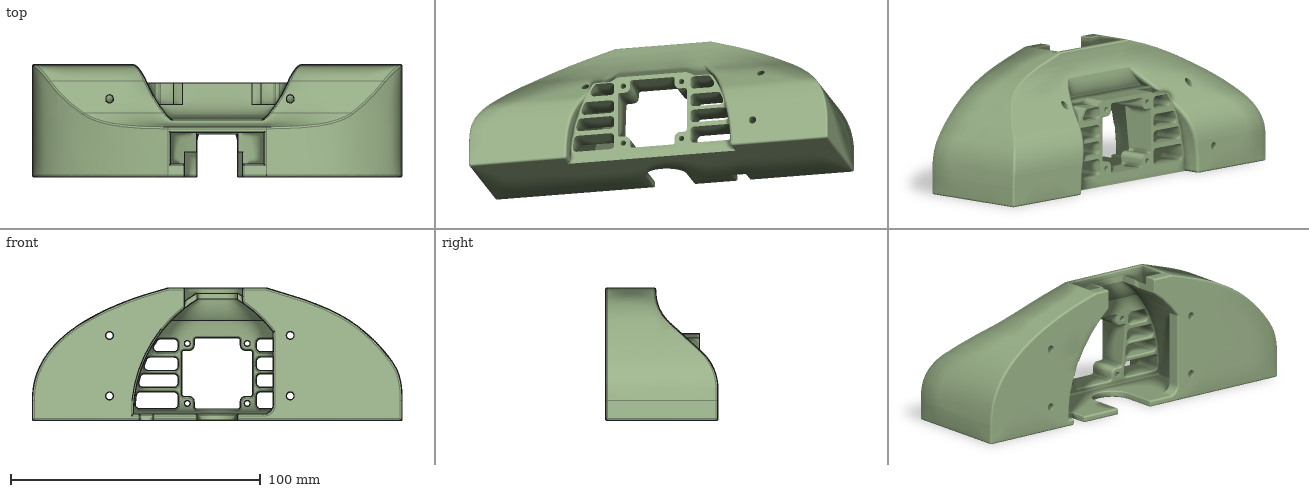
import cadquery as cq
import math

LENGTH = 148.0
DEPTH = 45.0
HEIGHT = 53.1
HALF_LENGTH = LENGTH / 2
FRONT_Y = -DEPTH / 2
BACK_Y = DEPTH / 2
EDGE_ROUND = 0.8
FINE_EDGE_ROUND = 0.5

DOME_FOOT_HEIGHT = 8.0
DOME_TOP_HALF = 19.7
DOME_MID_POINTS = [(34.0, 48.7), (55.9, 38.0), (70.0, 23.6)]
DOME_TOP_TANGENT = (-1.0, 0.29)

UPPER_BACK_Y = -2.4
SLOPE_ANGLE = math.radians(42.3)
SLOPE_HEIGHT = 42.1
UPPER_BACK_ROUND = 17.0
LOWER_BACK_ROUND = 20.0

FLOOR_THICKNESS = 2.6
ARCH_HALF_WIDTH = 33.6
ARCH_RADIUS = 54.0
ARCH_TOP = 48.7
LINER_THICKNESS = 2.2

FRONT_WALL_THICKNESS = 5.2
FRONT_WALL_INNER_Y = FRONT_Y + FRONT_WALL_THICKNESS
WINDOW_RIGHT = 22.4
WINDOW_CORNER_RADIUS = 4.0

PARTITION_TILT = math.radians(7.1)
PARTITION_FOOT_Y = 4.0
PARTITION_THICKNESS = 1.6
SHELL_THICKNESS = 2.5
SHELF_BACK_Y = 6.6
SEAT_BACK_Y = 15.2
SHELF_TOP = 34.8
LEDGE_TOP = 33.1
SHELF_FLANK_INNER = 14.0
SHELF_FLANK_OUTER = 17.6
RECESS_MARGIN = 0.1
LEDGE_ROUND = 2.0
JOINT_ROUND = 0.8
LIP_ROUND = 1.2

FAN_Z = 18.9
FAN_HALF = 14.2
SCREW_OFFSET = 12.0
SCREW_DIAMETER = 2.2
SCREW_BOSS_HALF = 5.0
SCREW_BOSS_ROUND = 2.2
FAN_INNER_ROUND = 0.9

GRILLE_ROWS = [(4.8, 11.5), (13.4, 18.7), (20.1, 25.4), (27.6, 32.7)]
GRILLE_INNER_X = 15.7
GRILLE_CORNER_RADIUS = 1.6
GRILLE_SIDE_MARGIN = 0.7
OPENING_EDGE_ROUND = 0.6

MOUNT_X = (-43.1, 29.2)
MOUNT_HEIGHTS = (9.9, 34.1)
MOUNT_DIAMETER = 3.0

CABLE_SLOT_HALF = 8.1
CABLE_SLOT_CENTRE_Y = -8.5
SLIT_X = (-31.0, -25.8)
SLIT_DEPTH = 8.0

ROOF_POCKET_HALF = 18.7
ROOF_POCKET_Y = (FRONT_WALL_INNER_Y, -4.7)
ROOF_GAP_X = (-13.1, 10.2)
ROOF_GAP_BACK_Y = -12.5
LINER_GAP_HALF = 8.1
LINER_GAP_BACK_Y = -5.3
ROOF_CUT_FLOOR = 40.0


def box(x_range, y_range, z_range):
    size = [high - low for low, high in (x_range, y_range, z_range)]
    return cq.Workplane("XY").box(*size, centered=False).translate((x_range[0], y_range[0], z_range[0]))


def along_y(outline, y_range):
    """Extrude an outline drawn on XZ between two Y positions."""
    solid = outline.extrude(-(y_range[1] - y_range[0]))
    return solid.translate((0, y_range[0], 0))


def mirrored(points):
    return [(-x, z) for x, z in reversed(points)]


def around(value, pad=0.1):
    return value - pad, value + pad


def edges_within(x_range, y_range, z_range):
    """Selector for the edges whose centres lie inside a box."""
    low, high = zip(x_range, y_range, z_range)
    return cq.selectors.BoxSelector(low, high)


def dome_outline():
    left_tangent = (-DOME_TOP_TANGENT[0], DOME_TOP_TANGENT[1])
    right_tangent = (-DOME_TOP_TANGENT[0], -DOME_TOP_TANGENT[1])
    return (
        cq.Workplane("XZ")
        .moveTo(-HALF_LENGTH, 0)
        .lineTo(-HALF_LENGTH, DOME_FOOT_HEIGHT)
        .spline(
            mirrored(DOME_MID_POINTS) + [(-DOME_TOP_HALF, HEIGHT)],
            tangents=[(0, 1), left_tangent],
            includeCurrent=True,
        )
        .lineTo(DOME_TOP_HALF, HEIGHT)
        .spline(
            DOME_MID_POINTS + [(HALF_LENGTH, DOME_FOOT_HEIGHT)],
            tangents=[right_tangent, (0, -1)],
            includeCurrent=True,
        )
        .lineTo(HALF_LENGTH, 0)
        .close()
    )


def back_profile(inset=0.0):
    """Solid bounded by the rear S-shaped surface, moved inward by an inset."""
    upper_y = UPPER_BACK_Y - inset
    lower_y = BACK_Y - inset
    slope_height = SLOPE_HEIGHT - inset / math.cos(SLOPE_ANGLE)

    def slope_z(y):
        return slope_height - y * math.tan(SLOPE_ANGLE)

    def corner(y):
        return edges_within(around(0, 1), around(y, 1), around(slope_z(y), 1))

    profile = (
        cq.Workplane("YZ")
        .moveTo(FRONT_Y, 0)
        .lineTo(lower_y, 0)
        .lineTo(lower_y, slope_z(lower_y))
        .lineTo(upper_y, slope_z(upper_y))
        .lineTo(upper_y, 2 * HEIGHT)
        .lineTo(FRONT_Y, 2 * HEIGHT)
        .close()
        .extrude(HALF_LENGTH, both=True)
    )
    profile = profile.edges(corner(lower_y)).fillet(LOWER_BACK_ROUND - inset)
    return profile.edges(corner(upper_y)).fillet(UPPER_BACK_ROUND + inset)


def ahead_of_partition(setback=0.0):
    """Space in front of the leaning partition plane, moved back by a setback."""
    foot_y = PARTITION_FOOT_Y + setback
    head_y = foot_y - HEIGHT * math.tan(PARTITION_TILT)
    return (
        cq.Workplane("YZ")
        .polyline([(FRONT_Y, 0), (foot_y, 0), (head_y, HEIGHT), (FRONT_Y, HEIGHT)])
        .close()
        .extrude(HALF_LENGTH, both=True)
    )


def arch(y_range, margin=0.0):
    """Tunnel-shaped solid, grown sideways and upward by a margin."""
    centre_x = ARCH_HALF_WIDTH - ARCH_RADIUS
    radius = ARCH_RADIUS + margin
    top = ARCH_TOP + margin
    top_angle = math.asin((top - FLOOR_THICKNESS) / radius)

    def on_side(angle):
        return centre_x + radius * math.cos(angle), FLOOR_THICKNESS + radius * math.sin(angle)

    foot, middle, shoulder = on_side(0), on_side(top_angle / 2), on_side(top_angle)
    outline = (
        cq.Workplane("XZ")
        .moveTo(*foot)
        .threePointArc(middle, shoulder)
        .lineTo(-shoulder[0], top)
        .threePointArc((-middle[0], middle[1]), (-foot[0], foot[1]))
        .close()
    )
    return along_y(outline, y_range)


def body():
    solid = along_y(dome_outline(), (FRONT_Y, BACK_Y)).intersect(back_profile())
    solid = solid.edges("(not (|X or |Y)) or (|X and >Z)").fillet(EDGE_ROUND)
    return solid.faces("<Z").edges().fillet(EDGE_ROUND)


def tunnel():
    wall_y_range = (FRONT_Y, FRONT_WALL_INNER_Y)
    window = box((-LENGTH, WINDOW_RIGHT), wall_y_range, (FLOOR_THICKNESS, HEIGHT))
    front = arch(wall_y_range).intersect(window)
    corner = cq.selectors.NearestToPointSelector((WINDOW_RIGHT, sum(wall_y_range) / 2, FLOOR_THICKNESS))
    front = front.edges(corner).fillet(WINDOW_CORNER_RADIUS)
    inner = arch((FRONT_WALL_INNER_Y, BACK_Y))
    inner = inner.intersect(back_profile(SHELL_THICKNESS)).intersect(ahead_of_partition())
    return front.union(inner)


def rear_recess():
    """Space inside the tunnel outline that is open to the back."""
    recess = arch((FRONT_Y, BACK_Y), RECESS_MARGIN).cut(ahead_of_partition(PARTITION_THICKNESS))
    half_width = ARCH_HALF_WIDTH + RECESS_MARGIN
    return recess.union(box((-half_width, half_width), (SEAT_BACK_Y, BACK_Y), (0, FLOOR_THICKNESS)))


def fan_seat():
    """Block behind the partition that carries the fan and the grille."""
    x_range = (-HALF_LENGTH, HALF_LENGTH)
    ledge = box(x_range, (FRONT_Y, SEAT_BACK_Y), (0, LEDGE_TOP))
    shelf = box(x_range, (FRONT_Y, SHELF_BACK_Y), (0, SHELF_TOP))
    crown = along_y(
        cq.Workplane("XZ")
        .moveTo(-SHELF_FLANK_OUTER, LEDGE_TOP)
        .lineTo(-SHELF_FLANK_INNER, SHELF_TOP)
        .lineTo(SHELF_FLANK_INNER, SHELF_TOP)
        .lineTo(SHELF_FLANK_OUTER, LEDGE_TOP)
        .close(),
        (FRONT_Y, SEAT_BACK_Y),
    )
    outline = arch((FRONT_Y, SEAT_BACK_Y), RECESS_MARGIN)
    ledge = ledge.intersect(outline).faces(">Z").edges("|Y").fillet(LEDGE_ROUND)
    seat = ledge.union(shelf.union(crown).intersect(outline))
    return seat.cut(ahead_of_partition())


def fan_opening():
    """Square opening with a rounded screw boss left standing in each corner."""
    y_range = (UPPER_BACK_Y, BACK_Y)
    size = 2 * FAN_HALF
    opening = along_y(cq.Workplane("XZ").center(0, FAN_Z).rect(size, size), y_range)
    boss_centre = FAN_HALF - SCREW_BOSS_HALF / 2
    signs = [(sx, sz) for sx in (-1, 1) for sz in (-1, 1)]
    bosses = along_y(
        cq.Workplane("XZ")
        .center(0, FAN_Z)
        .pushPoints([(sx * boss_centre, sz * boss_centre) for sx, sz in signs])
        .rect(SCREW_BOSS_HALF, SCREW_BOSS_HALF),
        y_range,
    )
    opening = opening.cut(bosses)
    notch = FAN_HALF - SCREW_BOSS_HALF

    def corner_edge(x, z):
        return edges_within(around(x), (-DEPTH, DEPTH), around(z))

    for sx, sz in signs:
        opening = opening.edges(corner_edge(sx * notch, FAN_Z + sz * notch)).fillet(SCREW_BOSS_ROUND)
        opening = opening.edges(corner_edge(sx * notch, FAN_Z + sz * FAN_HALF)).fillet(FAN_INNER_ROUND)
        opening = opening.edges(corner_edge(sx * FAN_HALF, FAN_Z + sz * notch)).fillet(FAN_INNER_ROUND)
    screws = along_y(
        cq.Workplane("XZ")
        .center(0, FAN_Z)
        .pushPoints([(sx * SCREW_OFFSET, sz * SCREW_OFFSET) for sx, sz in signs])
        .circle(SCREW_DIAMETER / 2),
        y_range,
    )
    return opening.union(screws)


def grille():
    y_range = (UPPER_BACK_Y, BACK_Y)
    limit = arch(y_range, -GRILLE_SIDE_MARGIN)
    slots = []
    for z_range in GRILLE_ROWS:
        for x_range in ((-HALF_LENGTH, -GRILLE_INNER_X), (GRILLE_INNER_X, HALF_LENGTH)):
            slot = box(x_range, y_range, z_range).intersect(limit)
            slots.append(slot.edges("|Y").fillet(GRILLE_CORNER_RADIUS))
    return slots


def mount_holes():
    places = [(x, z) for x in MOUNT_X for z in MOUNT_HEIGHTS]
    return along_y(cq.Workplane("XZ").pushPoints(places).circle(MOUNT_DIAMETER / 2), (FRONT_Y, BACK_Y))


def floor_cuts():
    """Round-ended cable slot and a short slit beside it, both open to the front."""
    z_range = (0, FLOOR_THICKNESS)
    slot = box((-CABLE_SLOT_HALF, CABLE_SLOT_HALF), (FRONT_Y, CABLE_SLOT_CENTRE_Y), z_range)
    round_end = (
        cq.Workplane("XY").center(0, CABLE_SLOT_CENTRE_Y).circle(CABLE_SLOT_HALF).extrude(FLOOR_THICKNESS)
    )
    slit = box(SLIT_X, (FRONT_Y, FRONT_Y + SLIT_DEPTH), z_range)
    return slot.union(round_end).union(slit)


def roof_opening():
    """Pocket down to the tunnel liner, with gaps through the liner and the front wall."""
    z_range = (ROOF_CUT_FLOOR, HEIGHT)
    pocket = box((-ROOF_POCKET_HALF, ROOF_POCKET_HALF), ROOF_POCKET_Y, z_range)
    pocket = pocket.cut(arch((FRONT_Y, BACK_Y), LINER_THICKNESS))
    liner_gap = box(
        (-LINER_GAP_HALF, LINER_GAP_HALF), (ROOF_GAP_BACK_Y, LINER_GAP_BACK_Y), (ARCH_TOP - 1, HEIGHT)
    )
    front_gap = box(ROOF_GAP_X, (FRONT_Y, ROOF_GAP_BACK_Y), z_range)
    return pocket.union(liner_gap).union(front_gap)


def hollowed_body():
    """Body with the rear recess and the tunnel, their outer lips rounded."""
    part = body().cut(rear_recess())
    across = (-ARCH_HALF_WIDTH, ARCH_HALF_WIDTH)
    side_lips = edges_within(across, (SHELF_BACK_Y, BACK_Y), (DOME_FOOT_HEIGHT, HEIGHT))
    top_lips = edges_within(across, (0, SHELF_BACK_Y), (SHELF_TOP, HEIGHT))
    part = part.edges(side_lips + top_lips).fillet(LIP_ROUND)
    part = part.cut(tunnel())
    window_edges = part.faces("<Y").val().innerWires()[0].Edges()
    return part.newObject(window_edges).fillet(EDGE_ROUND)


def with_fan_seat(part):
    """Add the fan seat and round its joints with the wall above and the floor below."""
    part = part.union(fan_seat())
    across = around(0)
    shelf_joint = edges_within(across, (0, SHELF_BACK_Y), around(SHELF_TOP))
    part = part.edges(shelf_joint).fillet(JOINT_ROUND)
    foot_joint = edges_within(across, around(PARTITION_FOOT_Y, 1), around(FLOOR_THICKNESS))
    return part.edges(foot_joint).fillet(JOINT_ROUND)


def with_partition_openings(part):
    """Cut the fan opening and the grille, then round their front edges."""
    part = part.cut(fan_opening())
    for slot in grille():
        part = part.cut(slot)
    plane_y = PARTITION_FOOT_Y - FAN_Z * math.tan(PARTITION_TILT)
    partition_face = part.faces(cq.selectors.NearestToPointSelector((0, plane_y, FAN_Z)))
    edges = []
    for wire in partition_face.val().innerWires():
        if wire.BoundingBox().xlen > 2 * SCREW_DIAMETER:
            edges += wire.Edges()
    return part.newObject(edges).fillet(OPENING_EDGE_ROUND)


def with_floor_cuts(part):
    part = part.cut(floor_cuts())
    slot_edges = edges_within(
        (SLIT_X[0] - 1, CABLE_SLOT_HALF + 1),
        (FRONT_Y, CABLE_SLOT_CENTRE_Y + CABLE_SLOT_HALF),
        around(FLOOR_THICKNESS),
    )
    return part.edges(slot_edges).fillet(FINE_EDGE_ROUND)


def with_roof_opening(part):
    part = part.cut(roof_opening())
    pad = 0.1
    rim = edges_within(
        around(0, ROOF_POCKET_HALF + pad),
        (FRONT_Y + EDGE_ROUND + pad, ROOF_POCKET_Y[1] + pad),
        around(HEIGHT),
    )
    return part.edges(rim).fillet(FINE_EDGE_ROUND)


result = hollowed_body()
result = with_fan_seat(result)
result = with_partition_openings(result)
result = result.cut(mount_holes())
result = with_floor_cuts(result)
result = with_roof_opening(result)